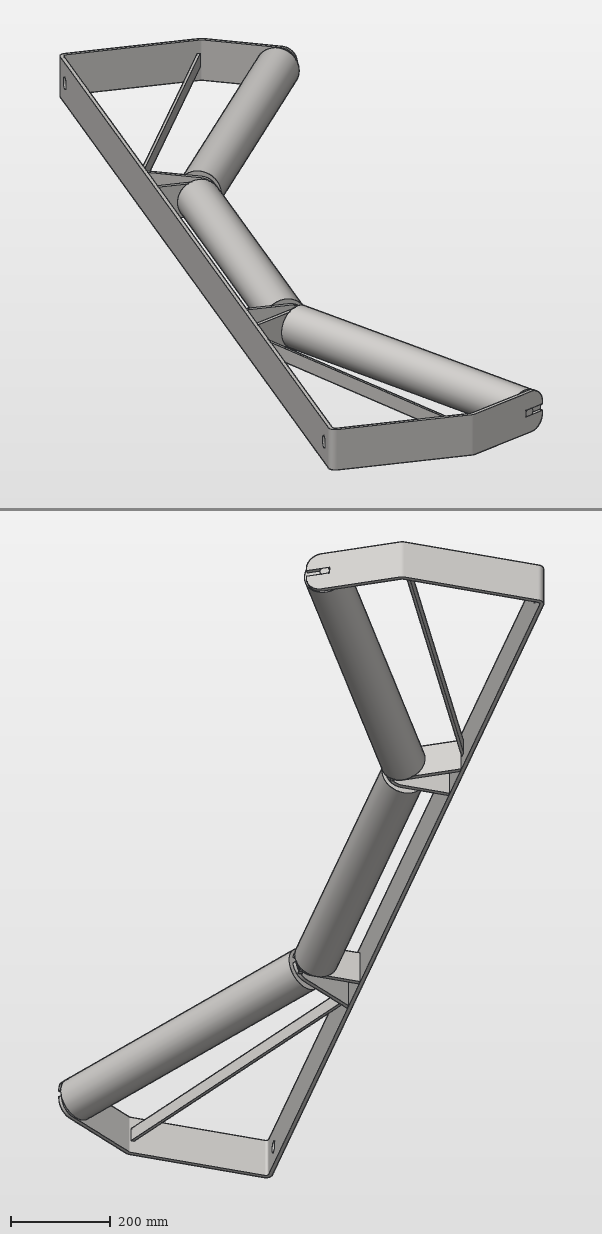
import cadquery as cq
import math

frame_length = 2000.0
strip_height = 88.0
strip_thickness = 8.0
bend_radius = 15.0
knee_y = 298.0
arm_length = 198.0
arm_angle = 60.0

roller_diameter = 90.0
seat_span = 645.0
end_gap = 5.0
shaft_diameter = 20.0
shaft_flat_width = 15.0
middle_axis_y = 100.0
axis_drop = 5.0

tip_above_axis = 38.0
tip_corner_radius = 32.0
bracket_height = 72.0
bridge_y = 125.0
bridge_thickness = 8.0
bridge_height = 60.0

brace_height = 30.0
brace_thickness = 5.0
brace_wall_y = 290.0
brace_foot_x = 425.0

mount_slot_x = 952.0
mount_slot_width = 18.0
mount_slot_height = 25.0

half_length = frame_length / 2
inner_bend_radius = bend_radius - strip_thickness
shaft_length = seat_span + 2 * strip_thickness
roller_tilt = 90 - arm_angle
roller_dip = math.degrees(math.asin(axis_drop / shaft_length))
frame_depth = knee_y + arm_length * math.sin(math.radians(arm_angle))
arm_below_axis = arm_length - tip_above_axis

arm_axis_x = -half_length + arm_below_axis * math.cos(math.radians(arm_angle))
arm_axis_y = knee_y + arm_below_axis * math.sin(math.radians(arm_angle))


def mirrored(shape):
    return shape.mirror("YZ")


def tilted(shape):
    """Move a shape from the local X axis to the line square to the left arm."""
    turned = shape.rotate((0, 0, 0), (0, 0, 1), -roller_tilt)
    return turned.translate((arm_axis_x, arm_axis_y, 0))


def on_left_axis(shape):
    """Move a shape from the local shaft axis (along +X) to the left shaft axis, which dips inward."""
    return tilted(shape.rotate((0, 0, 0), (0, 1, 0), roller_dip))


def on_middle_axis(shape):
    return shape.translate((-shaft_length / 2, middle_axis_y, -axis_drop))


def end_plate(length_below_axis, height):
    """Plate standing across the local X axis, with rounded corners at its tip."""
    length = length_below_axis + tip_above_axis
    return (
        cq.Workplane("XY")
        .box(strip_thickness, length, height, centered=(False, False, True))
        .translate((0, -length_below_axis, 0))
        .edges(">Y and |X")
        .fillet(tip_corner_radius)
    )


def shaft_slots():
    """Cutter along the local shaft axis: opens a slot at the tip of both end plates."""
    shaft_radius = shaft_diameter / 2
    slot_depth = tip_above_axis + shaft_radius
    cutter_length = shaft_length + 2 * strip_thickness
    return (
        cq.Workplane("XY")
        .box(cutter_length, slot_depth, shaft_flat_width, centered=(False, False, True))
        .translate((-strip_thickness, -shaft_radius, 0))
    )


def half_space_behind_base():
    """Block that fills everything behind the inner face of the base."""
    return (
        cq.Workplane("XY")
        .box(frame_length, frame_depth, 2 * strip_height)
        .translate((0, strip_thickness - frame_depth / 2, 0))
    )


def make_frame():
    base = (
        cq.Workplane("XY")
        .box(frame_length, strip_thickness, strip_height)
        .translate((0, strip_thickness / 2, 0))
    )
    wall = (
        cq.Workplane("XY")
        .box(strip_thickness, knee_y, strip_height, centered=(False, False, True))
        .translate((-half_length, 0, 0))
    )
    arm = tilted(end_plate(arm_below_axis, strip_height))
    side = wall.union(arm).cut(on_left_axis(shaft_slots()))
    frame = base.union(side).union(mirrored(side)).clean()

    inner_x = half_length - strip_thickness
    inner_knee_y = knee_y - strip_thickness * math.tan(math.radians(roller_tilt / 2))
    for direction in (-1, 1):
        for x, y, radius in (
            (half_length, 0, bend_radius),
            (half_length, knee_y, bend_radius),
            (inner_x, strip_thickness, inner_bend_radius),
            (inner_x, inner_knee_y, inner_bend_radius),
        ):
            bend_edge = cq.selectors.NearestToPointSelector((direction * x, y, 0))
            frame = frame.edges("|Z").edges(bend_edge).fillet(radius)

    mount_slots = (
        cq.Workplane("XZ")
        .pushPoints([(-mount_slot_x, 0), (mount_slot_x, 0)])
        .slot2D(mount_slot_height, mount_slot_width, 90)
        .extrude(-strip_thickness)
    )
    return frame.cut(mount_slots)


def make_bracket():
    """Left bracket: one upright plate and one tilted plate, joined by a short bridge."""
    upright = on_middle_axis(end_plate(middle_axis_y, bracket_height))
    leaning_plate = end_plate(frame_depth / 2, bracket_height)
    leaning = tilted(leaning_plate.translate((seat_span + strip_thickness, 0, -axis_drop)))
    axis_end_x = arm_axis_x + shaft_length * math.cos(math.radians(roller_tilt))
    axis_end_y = arm_axis_y - shaft_length * math.sin(math.radians(roller_tilt))
    bridge_start_x = axis_end_x + (bridge_y - axis_end_y) / math.tan(math.radians(arm_angle))
    bridge_length = -shaft_length / 2 - bridge_start_x
    bridge = (
        cq.Workplane("XY")
        .box(bridge_length, bridge_thickness, bridge_height, centered=(False, False, True))
        .translate((bridge_start_x, bridge_y, -axis_drop))
    )
    bracket = upright.union(leaning).union(bridge).cut(half_space_behind_base())
    return bracket.cut(on_left_axis(shaft_slots())).cut(on_middle_axis(shaft_slots()))


def make_brace():
    """Left diagonal flat bar, trimmed by the inner faces of the wall and the base."""
    wall_x = -half_length + strip_thickness
    run = -brace_foot_x - wall_x
    drop = brace_wall_y - strip_thickness
    angle = math.degrees(math.atan2(drop, run))
    bar = (
        cq.Workplane("XY")
        .box(frame_length, brace_thickness, brace_height)
        .rotate((0, 0, 0), (0, 0, 1), -angle)
        .translate((wall_x, brace_wall_y, 0))
    )
    room = (
        cq.Workplane("XY")
        .box(half_length, frame_depth, strip_height, centered=(False, False, True))
        .translate((wall_x, strip_thickness, 0))
    )
    return bar.intersect(room)


def make_roller():
    """Roller on the local shaft axis, with flats on both shaft ends."""
    shaft = cq.Workplane("YZ").circle(shaft_diameter / 2).extrude(shaft_length)
    flats = cq.Workplane("XY").box(
        shaft_length, shaft_diameter, shaft_flat_width, centered=(False, True, True)
    )
    tube_start = strip_thickness + end_gap
    tube = (
        cq.Workplane("YZ", origin=(tube_start, 0, 0))
        .circle(roller_diameter / 2)
        .extrude(seat_span - 2 * end_gap)
    )
    return shaft.intersect(flats).union(tube)


frame = make_frame()
bracket = make_bracket()
brace = make_brace()
tilted_roller = on_left_axis(make_roller())
middle_roller = on_middle_axis(make_roller())

bodies = [frame, middle_roller]
for left_body in (bracket, brace, tilted_roller):
    bodies += [left_body, mirrored(left_body)]

result = cq.Compound.makeCompound([body.val() for body in bodies])